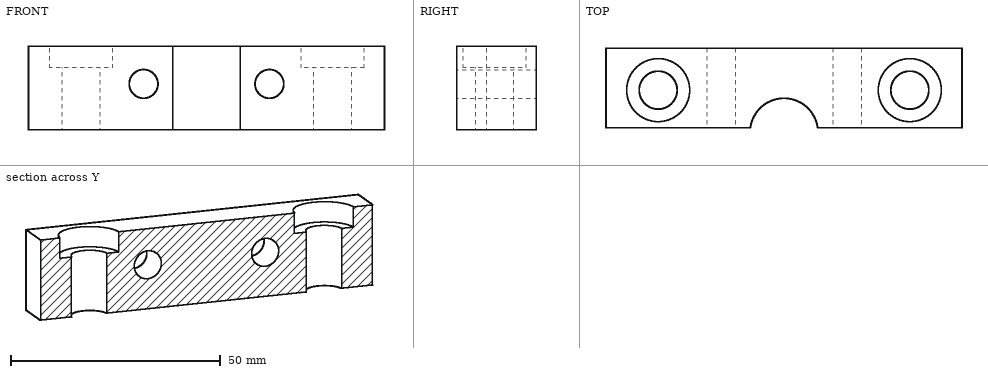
import cadquery as cq

length = 85.0
width = 19.0
height = 20.0

groove_radius = 8.1
groove_axis_offset = 1.0

bolt_spacing = 60.0
bolt_from_front = 9.0
bolt_diameter = 9.0
counterbore_diameter = 15.05
counterbore_depth = 5.0

cross_spacing = 30.0
cross_height = 11.0
cross_diameter = 6.8

block = cq.Workplane("XY").box(length, width, height, centered=(True, False, False))

groove = (
    cq.Workplane("XY")
    .center(0, -groove_axis_offset)
    .circle(groove_radius)
    .extrude(height)
)

bolt_holes = [(side * bolt_spacing / 2, bolt_from_front) for side in (-1, 1)]
cross_holes = [(side * cross_spacing / 2, cross_height) for side in (-1, 1)]

cross_cutters = (
    cq.Workplane("XZ")
    .pushPoints(cross_holes)
    .circle(cross_diameter / 2)
    .extrude(-width)
)

result = (
    block.cut(groove)
    .cut(cross_cutters)
    .faces(">Z")
    .workplane(origin=(0, 0, height))
    .pushPoints(bolt_holes)
    .cboreHole(bolt_diameter, counterbore_diameter, counterbore_depth)
)